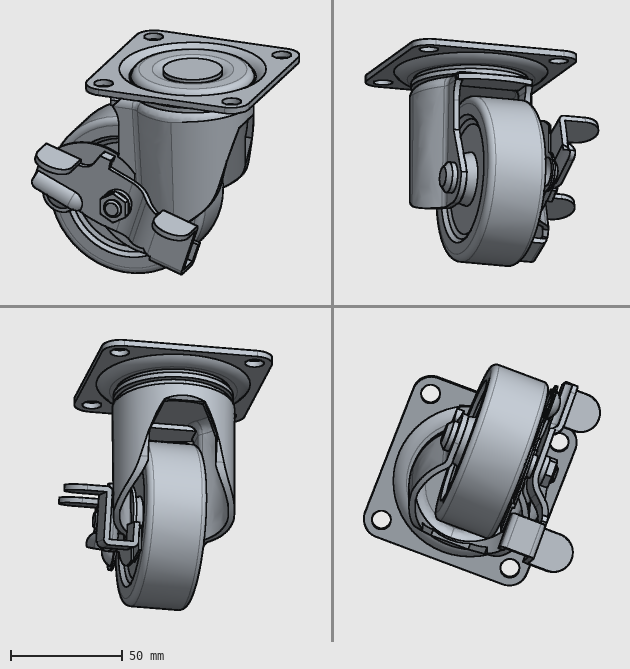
import cadquery as cq
import math


axle_x = -27.2
wheel_radius = 37.5
overall_height = 98.0
axle_z = wheel_radius - overall_height
sheet = 2.6

plate_size = 78.0
plate_thickness = 2.9
plate_corner_radius = 8.5
bolt_hole_radius = 4.3
bolt_hole_spacing = 61.9
groove_outer_radius = 33.0
groove_bottom_z = -3.5
hump_foot_radius = 27.8
groove_floor_radius = 28.5
hump_top_radius = 24.3
pocket_rim_radius = 18.3
boss_radius = 13.3
pocket_depth = 2.0
bowl_outer_radius = 34.6
bowl_bottom_radius = 28.8
bowl_bottom_z = -6.4
neck_radius = 25.8
neck_bottom_radius = 24.7
neck_bottom_z = -8.4

ring_radius = 26.9
ring_bore_radius = 8.5
fork_top_z = -10.6

fork_radius = 27.6
fork_wall = 2.8
leg_outer_y = 18.3
leg_inner_y = leg_outer_y - fork_wall
leg_end_radius = 11.6
leg_front_x = -28.5
leg_blend_radius = 4.3
crown_radius = 5.1
crown_inner_radius = 4.7
leg_rake = 3.7
lip_front_x = -36.2
lip_corner_x = -32.8
lip_back_x = -21.3
lip_half_width = 17.6
lip_top_z = -13.2
lip_thickness = 2.6
rear_arch_top_z = -21.5
rear_arch_half_width = 8.9
rear_arch_spread_z = -35.7

wheel_half_width = 13.6
tread_half_width = 11.1
tread_side_radius = 34.1
recess_outer_radius = 29.0
recess_mid_radius = 27.2
recess_floor_radius = 24.9
recess_mid_y = 11.7
recess_floor_y = 10.6
hub_radius = 10.9
hub_foot_radius = 12.2
hub_near_y = 14.6

axle_radius = 4.2
bolt_head_radius = 6.9
bolt_head_y = 20.8
bolt_dome_radius = 4.5
bolt_dome_y = 23.0
spacer_radius = 5.3
washer_radius = 6.7
washer_y = -25.7
nut_corner_radius = 7.0
nut_y = -29.1
axle_tip_y = -30.8
axle_tip_chamfer = 1.1

brake_inner_y = -16.0
brake_thickness = 1.0
brake_outer_y = brake_inner_y - brake_thickness
brake_arc_x = -43.1
brake_arc_z = -63.7
brake_arc_radius = 27.9
brake_left_x = -59.6
brake_right_x = -20.8
brake_step_x = -12.0
brake_step_web = 1.9
brake_tail_end_x = 1.1
brake_tail_top_z = -73.5
brake_tail_bottom_z = -85.6
button_x = -56.9
button_z = -62.1
button_rim_radius = 8.8
button_radius = 7.5
button_height = 5.0
button_wall = 1.0
leg_pad_radius = 16.5

pedal_tilt = 18.0
pedal_inner_y = -20.1
pedal_outer_y = pedal_inner_y - sheet
paddle_outer_y = -33.4
pedal_end_u = 40.6
tab_top_v = 11.8
tab_bottom_v = tab_top_v - sheet
tab_width = 17.5
tab_root_u = pedal_end_u - tab_width
left_tab_tip_y = -41.1
right_tab_tip_y = -51.2
swing_start_u = 3.2
swing_end_u = 22.9
swing_angle = 48.0
bead_radius = 6.6
bead_axis_y = -19.4
bead_start_v = -7.7
bead_end_u = -21.1
bead_end_v = -9.6
channel_bottom_v = -14.6
channel_top_v = -10.1
channel_start_u = 24.5
hook_inner_y = brake_outer_y
return_flange_y = -20.0
return_flange_top_v = -3.2
bend_radius = 2.6


def slab(outline, y_start, y_end):
    """Extrude an outline drawn in X and Z from y_start to y_end, going toward -Y."""
    return outline.extrude(y_start - y_end).translate((0, y_start, 0))


def disc(x, z, radius, y_start, y_end):
    """A cylinder along Y, from y_start toward -Y."""
    return slab(cq.Workplane("XZ").center(x, z).circle(radius), y_start, y_end)


def axle_disc(radius, y_start, y_end):
    return disc(axle_x, axle_z, radius, y_start, y_end)


def block(x_range, y_range, z_range):
    corner = cq.Vector(x_range[0], y_range[0], z_range[0])
    size = cq.Vector(x_range[1], y_range[1], z_range[1]) - corner
    return cq.Workplane("XY").box(size.x, size.y, size.z, centered=False).translate(corner)


def make_top_plate():
    flange = (
        cq.Workplane("XY").rect(plate_size, plate_size).extrude(-plate_thickness)
        .edges("|Z").fillet(plate_corner_radius)
        .faces(">Z").workplane(origin=(0, 0, 0))
        .rect(bolt_hole_spacing, bolt_hole_spacing, forConstruction=True).vertices()
        .circle(bolt_hole_radius).cutThruAll()
        .cut(cq.Workplane("XY").circle(groove_outer_radius).extrude(-plate_thickness))
    )
    pocket_mid = (15.2, -0.7)
    hump_mid = (26.7, -1.2)
    groove_mid = (30.5, -1.5)
    bowl_mid = (32.3, -5.2)
    bowl = (
        cq.Workplane("XZ").lineTo(boss_radius, 0).lineTo(boss_radius, -pocket_depth)
        .threePointArc(pocket_mid, (pocket_rim_radius, 0))
        .lineTo(hump_top_radius, 0)
        .threePointArc(hump_mid, (hump_foot_radius, groove_bottom_z))
        .lineTo(groove_floor_radius, groove_bottom_z)
        .threePointArc(groove_mid, (groove_outer_radius, 0))
        .lineTo(bowl_outer_radius, 0)
        .lineTo(bowl_outer_radius, -plate_thickness)
        .threePointArc(bowl_mid, (bowl_bottom_radius, bowl_bottom_z))
        .lineTo(neck_radius, bowl_bottom_z).lineTo(neck_bottom_radius, neck_bottom_z)
        .lineTo(0, neck_bottom_z).close()
        .revolve(360, (0, 0, 0), (0, 1, 0))
    )
    return flange.union(bowl)


def make_race_ring():
    return (
        cq.Workplane("XY").workplane(offset=fork_top_z)
        .circle(ring_radius).circle(ring_bore_radius).extrude(neck_bottom_z - fork_top_z)
    )


def brake_plate_outline():
    def arc_point(x):
        return (x, brake_arc_z + math.sqrt(brake_arc_radius**2 - (x - brake_arc_x)**2))

    lower_arc_start = (-38.9, -70.3)
    lower_arc_middle = (-29.2, -80.3)
    return (
        cq.Workplane("XZ").moveTo(*arc_point(brake_left_x))
        .threePointArc(arc_point(brake_arc_x), arc_point(brake_right_x))
        .lineTo(brake_right_x, brake_tail_top_z)
        .lineTo(brake_step_x, brake_tail_top_z)
        .lineTo(brake_step_x, brake_tail_bottom_z)
        .threePointArc(lower_arc_middle, lower_arc_start)
        .lineTo(button_x, button_z)
        .lineTo(brake_left_x, button_z)
        .close()
    )


def button_cap(radius, height):
    """Spherical cap standing outward from the inner face of the brake plate."""
    sphere_radius = (radius**2 + height**2) / (2 * height)
    sphere = cq.Workplane("XY").sphere(sphere_radius)
    sphere = sphere.translate((button_x, brake_inner_y + sphere_radius - height, button_z))
    return sphere.intersect(disc(button_x, button_z, 2 * radius, brake_inner_y, brake_inner_y - 2 * height))


def make_brake_plate():
    web_x = (brake_step_x - brake_step_web / 2, brake_step_x + brake_step_web / 2)
    tail_z = (brake_tail_bottom_z, brake_tail_top_z)
    stepped_y = brake_inner_y + brake_thickness
    return (
        slab(brake_plate_outline(), brake_inner_y, brake_outer_y)
        .union(disc(button_x, button_z, button_rim_radius, brake_inner_y, brake_outer_y))
        .union(block(web_x, (brake_outer_y, stepped_y), tail_z))
        .union(block((brake_step_x, brake_tail_end_x), (brake_inner_y, stepped_y), tail_z))
        .union(button_cap(button_radius, button_height))
        .cut(button_cap(button_radius - button_wall, button_height - button_wall))
        .cut(axle_disc(axle_radius, brake_inner_y, brake_outer_y))
    )


def fork_block(inset, top_z, front_x, crown_fillet):
    """Solid with a round rear and a straight front, inset all round from the fork's outside."""
    bottom_z = axle_z - leg_end_radius - 1.1
    half_width = leg_outer_y - inset
    round_radius = fork_radius - inset
    leaning_front = (
        cq.Workplane("XY").workplane(offset=bottom_z).center(leg_rake, 0).circle(round_radius)
        .workplane(offset=top_z - bottom_z).center(-leg_rake, 0).circle(round_radius)
        .loft(ruled=True)
    )
    body = leaning_front.union(block((front_x, 0), (-half_width, half_width), (bottom_z, top_z)))
    joint_x = -math.sqrt(round_radius**2 - half_width**2) + leg_rake / 2
    middle_z = (top_z + bottom_z) / 2
    joints = cq.selectors.BoxSelector(
        (joint_x - 1.1, -fork_radius, middle_z - 1.1), (joint_x + 1.1, fork_radius, middle_z + 1.1)
    )
    rim = cq.selectors.BoxSelector(
        (front_x + 1.1, -fork_radius, top_z - 1.1), (fork_radius, fork_radius, top_z + 1.1)
    )
    body = body.edges(joints).fillet(leg_blend_radius).faces(">Z").edges(rim).fillet(crown_fillet)
    upright_rear = (
        cq.Workplane("XY").workplane(offset=bottom_z).circle(round_radius).extrude(top_z - bottom_z)
        .union(block((front_x, 0), (-round_radius, round_radius), (bottom_z, top_z)))
    )
    return body.intersect(upright_rear)


def fork_side_profile():
    leg_end_left = (axle_x - leg_end_radius, axle_z)
    leg_end_bottom = (axle_x, axle_z - leg_end_radius)
    diagonal = leg_end_radius * math.sqrt(0.5)
    lower_edge = [(-13.3, -71.3), (0, -68.0), (12.2, -60.1), (19.8, -47.5)]
    return (
        cq.Workplane("XZ").moveTo(-26.6, fork_top_z)
        .lineTo(-31.5, lip_top_z - lip_thickness)
        .threePointArc((-29.4, -19.4), (leg_front_x, -24.5))
        .lineTo(leg_front_x, -38.3)
        .lineTo(*leg_end_left)
        .threePointArc((axle_x - diagonal, axle_z - diagonal), leg_end_bottom)
        .spline(lower_edge, tangents=[(1, 0), (0.24, 1)], includeCurrent=True)
        .lineTo(26.0, rear_arch_top_z)
        .lineTo(fork_radius, -19.7)
        .lineTo(fork_radius, fork_top_z)
        .close()
    )


def make_fork():
    far_front_x = axle_x - 2 * leg_end_radius
    shell = fork_block(0, fork_top_z, far_front_x, crown_radius).cut(
        fork_block(fork_wall, fork_top_z - fork_wall, far_front_x - fork_wall, crown_inner_radius)
    )
    fork = shell.intersect(slab(fork_side_profile(), fork_radius, -fork_radius))

    lip = (
        cq.Workplane("XY").workplane(offset=lip_top_z)
        .moveTo(lip_back_x, lip_half_width).lineTo(lip_corner_x, lip_half_width)
        .threePointArc((lip_front_x, 0), (lip_corner_x, -lip_half_width))
        .lineTo(lip_back_x, -lip_half_width).close().extrude(-lip_thickness)
    )
    fork = fork.union(lip)

    arch_bottom_z = axle_z - 2 * leg_end_radius
    rear_arch = (
        cq.Workplane("YZ")
        .polyline([
            (-rear_arch_half_width, rear_arch_top_z), (rear_arch_half_width, rear_arch_top_z),
            (leg_inner_y, rear_arch_spread_z), (leg_inner_y, arch_bottom_z),
            (-leg_inner_y, arch_bottom_z), (-leg_inner_y, rear_arch_spread_z),
        ])
        .close().extrude(fork_radius)
    )
    fork = fork.cut(rear_arch)

    fork = fork.cut(slab(brake_plate_outline(), brake_inner_y, -leg_outer_y))
    fork = fork.union(axle_disc(leg_pad_radius, -hub_near_y, brake_inner_y))
    return fork.cut(axle_disc(axle_radius, fork_radius, -fork_radius))


def make_wheel():
    shoulder_radius = 36.6
    shoulder_y = 12.9
    profile = (
        cq.Workplane("XY").moveTo(axle_radius, -hub_near_y)
        .lineTo(hub_radius, -hub_near_y)
        .lineTo(hub_foot_radius, -recess_floor_y)
        .lineTo(recess_floor_radius, -recess_floor_y)
        .lineTo(recess_mid_radius, -recess_mid_y)
        .lineTo(recess_outer_radius, -wheel_half_width)
        .lineTo(tread_side_radius, -wheel_half_width)
        .threePointArc((shoulder_radius, -shoulder_y), (wheel_radius, -tread_half_width))
        .lineTo(wheel_radius, tread_half_width)
        .threePointArc((shoulder_radius, shoulder_y), (tread_side_radius, wheel_half_width))
        .lineTo(recess_outer_radius, wheel_half_width)
        .lineTo(recess_mid_radius, recess_mid_y)
        .lineTo(recess_floor_radius, recess_floor_y)
        .lineTo(hub_foot_radius, recess_floor_y)
        .lineTo(hub_radius, leg_inner_y)
        .lineTo(axle_radius, leg_inner_y)
        .close()
    )
    return profile.revolve(360, (0, 0, 0), (0, 1, 0)).translate((axle_x, 0, axle_z))


def make_axle():
    head = axle_disc(bolt_head_radius, bolt_head_y, leg_outer_y)
    dome = (
        cq.Workplane("XZ").circle(bolt_head_radius).workplane(offset=bolt_head_y - bolt_dome_y)
        .circle(bolt_dome_radius).loft().translate((axle_x, bolt_head_y, axle_z))
    )
    shaft = axle_disc(axle_radius, leg_outer_y, axle_tip_y).faces("<Y").chamfer(axle_tip_chamfer)
    spacer = axle_disc(spacer_radius, brake_outer_y, pedal_inner_y)
    washer = axle_disc(washer_radius, pedal_outer_y, washer_y)
    hexagon = cq.Workplane("XZ").polygon(6, 2 * nut_corner_radius)
    nut = slab(hexagon, washer_y, nut_y).rotate((0, 0, 0), (0, 1, 0), 90)
    axle = head
    for piece in (dome, shaft, spacer, washer, nut.translate((axle_x, 0, axle_z))):
        axle = axle.union(piece)
    return axle


def swung_sheet():
    """Tall sheet that swings outward past the axle through two equal bends and a straight."""
    angle = math.radians(swing_angle)
    span = swing_end_u - swing_start_u
    swing = pedal_outer_y - paddle_outer_y
    bend_middle_radius = (span * math.sin(angle) - swing * math.cos(angle)) / (2 * (1 - math.cos(angle)))
    tight = bend_middle_radius - sheet / 2
    wide = bend_middle_radius + sheet / 2
    paddle_inner_y = paddle_outer_y + sheet

    def first_bend(radius, turn):
        center_y = pedal_outer_y - tight
        return (swing_start_u + radius * math.sin(turn), center_y + radius * math.cos(turn))

    def second_bend(radius, turn):
        center_y = paddle_inner_y + tight
        return (swing_end_u - radius * math.sin(turn), center_y - radius * math.cos(turn))

    section = (
        cq.Workplane("XY").moveTo(-pedal_end_u, pedal_inner_y)
        .lineTo(swing_start_u, pedal_inner_y)
        .threePointArc(first_bend(wide, angle / 2), first_bend(wide, angle))
        .lineTo(*second_bend(tight, angle))
        .threePointArc(second_bend(tight, angle / 2), (swing_end_u, paddle_inner_y))
        .lineTo(pedal_end_u, paddle_inner_y)
        .lineTo(pedal_end_u, paddle_outer_y)
        .lineTo(swing_end_u, paddle_outer_y)
        .threePointArc(second_bend(wide, angle / 2), second_bend(wide, angle))
        .lineTo(*first_bend(tight, angle))
        .threePointArc(first_bend(tight, angle / 2), (swing_start_u, pedal_outer_y))
        .lineTo(-pedal_end_u, pedal_outer_y)
        .close()
    )
    return section.extrude(2 * pedal_end_u).translate((0, 0, -pedal_end_u))


def pedal_sheet():
    """Face outline of the pedal, cut from the swung sheet."""
    face = (
        cq.Workplane("XZ").moveTo(-pedal_end_u, tab_bottom_v)
        .lineTo(-pedal_end_u, -4.8)
        .threePointArc((-39.8, -7.7), (-36.5, -9.2))
        .lineTo(-17.9, -11.4)
        .threePointArc((0, -13.3), (20.2, -9.9))
        .lineTo(tab_root_u, channel_bottom_v + sheet)
        .lineTo(pedal_end_u, channel_bottom_v + sheet)
        .lineTo(pedal_end_u, tab_bottom_v)
        .lineTo(tab_root_u, tab_bottom_v)
        .lineTo(20.8, 8.5)
        .spline([(10.3, 11.3), (-1.1, 13.1), (-9.2, 14.0)], includeCurrent=True)
        .lineTo(-9.7, 18.0)
        .lineTo(-15.0, 18.0)
        .lineTo(-17.0, 12.2)
        .threePointArc((-19.3, 10.0), (-tab_root_u, tab_bottom_v))
        .close()
    )
    return slab(face, 0, paddle_outer_y - 1.1).intersect(swung_sheet())


def foot_tab(center_u, root_y, tip_y):
    """Tab with a rounded tip, bent outward from the top edge of the sheet."""
    half_width = tab_width / 2
    return (
        cq.Workplane("XY").workplane(offset=tab_bottom_v)
        .moveTo(center_u - half_width, root_y)
        .lineTo(center_u - half_width, tip_y + half_width)
        .threePointArc((center_u, tip_y), (center_u + half_width, tip_y + half_width))
        .lineTo(center_u + half_width, root_y)
        .close().extrude(sheet)
        .edges("|X and >Z and >Y").fillet(sheet * 0.9)
    )


def bead_capsule(radius):
    """Round bar along the bead with a ball at its inner end."""
    start = cq.Vector(-pedal_end_u, bead_axis_y, bead_start_v)
    end = cq.Vector(bead_end_u, bead_axis_y, bead_end_v)
    along = end - start
    bar = cq.Workplane(cq.Solid.makeCylinder(radius, along.Length, start, along))
    return bar.union(cq.Workplane("XY").sphere(radius).translate(end))


def bottom_channel():
    """Channel folded inward under the outer end of the pedal."""
    section = (
        cq.Workplane("YZ")
        .moveTo(paddle_outer_y, channel_top_v)
        .lineTo(paddle_outer_y, channel_bottom_v)
        .lineTo(return_flange_y + sheet, channel_bottom_v)
        .lineTo(return_flange_y + sheet, return_flange_top_v)
        .lineTo(return_flange_y, return_flange_top_v)
        .lineTo(return_flange_y, channel_bottom_v + sheet)
        .lineTo(paddle_outer_y + sheet, channel_bottom_v + sheet)
        .lineTo(paddle_outer_y + sheet, channel_top_v)
        .close()
    )
    channel = section.extrude(pedal_end_u - channel_start_u).translate((channel_start_u, 0, 0))
    return channel.edges("|X and <Z").fillet(bend_radius)


def make_pedal(brake_button):
    bead_limit = (
        cq.Workplane("XZ").moveTo(-pedal_end_u, 0)
        .lineTo(-pedal_end_u, -4.8)
        .threePointArc((-39.8, -7.7), (-36.5, -9.2))
        .lineTo(-17.9, -11.4).lineTo(-12.8, -12.2).lineTo(-12.8, 0).close()
    )
    bead = bead_capsule(bead_radius).intersect(slab(bead_limit, pedal_inner_y, paddle_outer_y))
    tab_center_u = pedal_end_u - tab_width / 2
    hook = block((-15.0, -9.7), (pedal_outer_y, hook_inner_y), (15.8, 18.0))
    pedal = (
        pedal_sheet()
        .union(bead)
        .cut(bead_capsule(bead_radius - sheet))
        .union(foot_tab(-tab_center_u, pedal_inner_y, left_tab_tip_y))
        .union(foot_tab(tab_center_u, paddle_outer_y + sheet, right_tab_tip_y))
        .union(hook)
        .union(bottom_channel())
        .rotate((0, 0, 0), (0, 1, 0), pedal_tilt)
        .translate((axle_x, 0, axle_z))
    )
    washer_seat = axle_disc(washer_radius, pedal_outer_y, axle_tip_y)
    return pedal.cut(axle_disc(axle_radius, 0, axle_tip_y)).cut(washer_seat).cut(brake_button)


top_plate = make_top_plate()
race_ring = make_race_ring()
fork = make_fork()
wheel = make_wheel()
axle = make_axle()
brake_plate = make_brake_plate()
pedal = make_pedal(button_cap(button_radius, button_height))

result = cq.Compound.makeCompound([
    top_plate.solids().val(),
    race_ring.solids().val(),
    fork.solids().val(),
    wheel.solids().val(),
    axle.solids().val(),
    brake_plate.solids().val(),
    pedal.solids().val(),
])